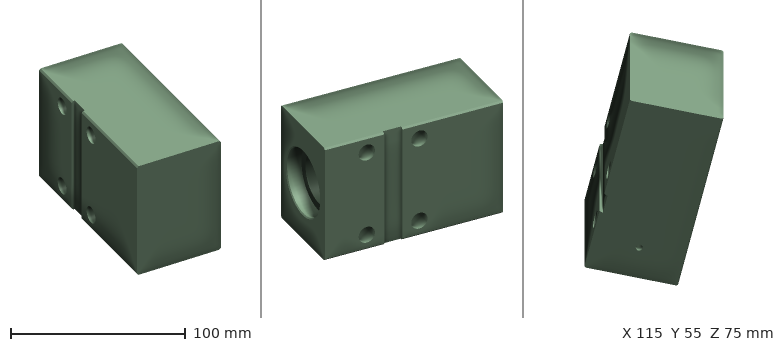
import cadquery as cq

length = 115.0
width = 55.0
height = 75.0
edge_chamfer = 1.0

bore_diameter = 32.0
end_wall = (width - bore_diameter) / 2
bore_depth = length - end_wall
counterbore_diameter = 42.0
counterbore_depth = 10.0
mouth_chamfer = 0.7

port_diameter = 4.0
port_distance = 20.0

hole_diameter = 10.5
hole_spacing_z = 55.0
hole_distances = (27.0, 61.0)

slot_distance = 38.3
slot_width = 11.7
slot_depth = 2.0

left_end = -length / 2
front_side = -width / 2


def make_block():
    block = cq.Workplane("XY").box(length, width, height)
    return block.edges("|X").chamfer(edge_chamfer)


def make_bore():
    """Stepped bore with a chamfered mouth, revolved about the X axis."""
    bore_radius = bore_diameter / 2
    counterbore_radius = counterbore_diameter / 2
    step_x = left_end + counterbore_depth
    floor_x = left_end + bore_depth
    return (
        cq.Workplane("XY")
        .moveTo(left_end, 0)
        .lineTo(left_end, counterbore_radius + mouth_chamfer)
        .lineTo(left_end + mouth_chamfer, counterbore_radius)
        .lineTo(step_x, counterbore_radius)
        .lineTo(step_x, bore_radius)
        .lineTo(floor_x, bore_radius)
        .lineTo(floor_x, 0)
        .close()
        .revolve(360, (0, 0, 0), (1, 0, 0))
    )


def make_port():
    return (
        cq.Workplane("XY")
        .center(left_end + port_distance, 0)
        .circle(port_diameter / 2)
        .extrude(-height / 2)
    )


def make_holes():
    centres = [
        (left_end + distance, side * hole_spacing_z / 2)
        for distance in hole_distances
        for side in (-1, 1)
    ]
    return (
        cq.Workplane("XZ")
        .pushPoints(centres)
        .circle(hole_diameter / 2)
        .extrude(width / 2, both=True)
    )


def make_slot():
    return (
        cq.Workplane("XY")
        .box(slot_width, slot_depth, height, centered=(False, False, True))
        .translate((left_end + slot_distance, front_side, 0))
    )


result = (
    make_block()
    .cut(make_bore())
    .cut(make_port())
    .cut(make_holes())
    .cut(make_slot())
)